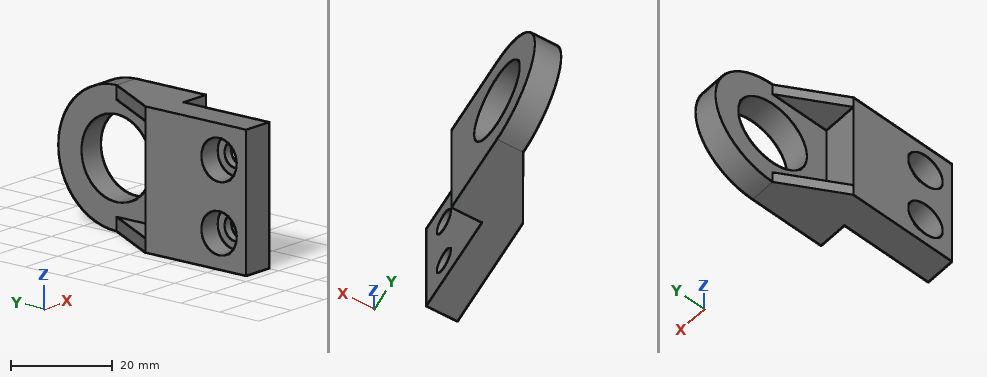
import cadquery as cq

length = 55.0
height = 30.0
thickness = 14.0

plate_thickness = 7.1
eye_thickness = 6.0
eye_radius = height / 2
eye_bore_diameter = 18.0
step_length = 22.0
plate_face_length = 25.9
cheek_thickness = 2.95

hole_diameter = 5.5
counterbore_diameter = 9.0
counterbore_depth = 5.0
hole_end_distance = 7.0
hole_spacing = 15.0

eye_center_y = length - eye_radius
eye_face_x = thickness - eye_thickness


def make_body():
    """Offset plate profile with sloped front, extended through the height."""
    return (
        cq.Workplane("XY", origin=(0, 0, -height / 2))
        .moveTo(0, 0)
        .lineTo(plate_thickness, 0)
        .lineTo(plate_thickness, step_length)
        .lineTo(thickness, step_length)
        .lineTo(thickness, eye_center_y)
        .lineTo(eye_face_x, eye_center_y)
        .lineTo(0, plate_face_length)
        .close()
        .extrude(height)
    )


def disc(start_x, y, z, diameter, depth):
    """Cylinder running along +X from the given start point."""
    return cq.Workplane("YZ", origin=(start_x, y, z)).circle(diameter / 2).extrude(depth)


def make_pocket():
    """Space between the cheeks, down to the face of the eye."""
    return cq.Workplane("XY").box(
        eye_face_x,
        eye_center_y - plate_face_length,
        height - 2 * cheek_thickness,
        centered=(False, False, True),
    ).translate((0, plate_face_length, 0))


result = make_body().union(disc(eye_face_x, eye_center_y, 0, height, eye_thickness))
result = result.cut(make_pocket())
result = result.cut(disc(eye_face_x, eye_center_y, 0, eye_bore_diameter, eye_thickness))

for hole_z in (-hole_spacing / 2, hole_spacing / 2):
    result = result.cut(disc(0, hole_end_distance, hole_z, hole_diameter, plate_thickness))
    result = result.cut(disc(0, hole_end_distance, hole_z, counterbore_diameter, counterbore_depth))